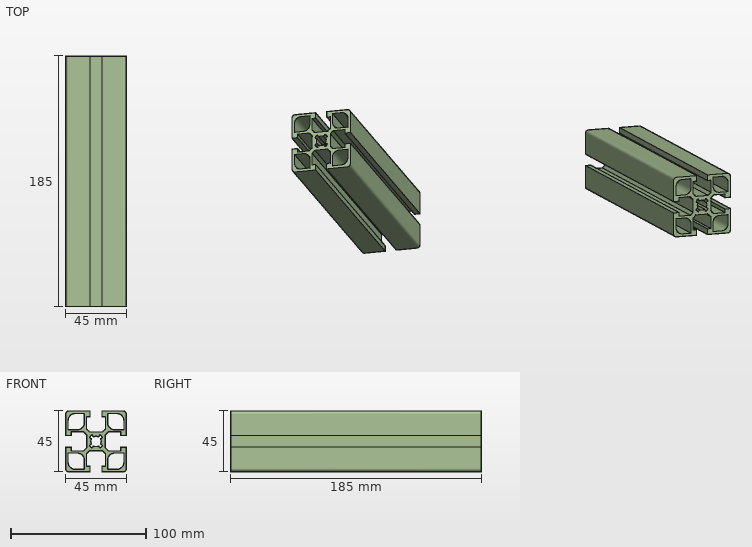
import cadquery as cq
import math

side = 45.0
length = 185.0
corner_radius = 2.5

slot_mouth_width = 8.5
slot_inner_width = 14.0
slot_lip_depth = 4.3
slot_corner_chamfer = 2.2
hub_width = 14.0

chamber_outer_wall = 2.0
chamber_slot_wall = 1.7
chamber_radius = 5.0

core_diameter = 7.5
recess_diameter = 11.2
recess_angle = 28.0
diagonal_angle = 45.0

half_side = side / 2
half_length = length / 2


def section_plane():
    """XZ plane at the -Y end of the bar; its normal points toward -Y."""
    return cq.Workplane("XZ", origin=(0, -half_length, 0))


def extrude_along_bar(outline):
    return outline.extrude(-length)


def make_bar():
    bar = extrude_along_bar(section_plane().rect(side, side))
    return bar.edges("|Y").fillet(corner_radius)


def make_slot():
    """T-slot opening to +Z, with chamfered corners at its floor."""
    mouth = slot_mouth_width / 2
    inner = slot_inner_width / 2
    floor = hub_width / 2
    lip = half_side - slot_lip_depth
    right_half = [
        (mouth, half_side),
        (mouth, lip),
        (inner, lip),
        (inner, floor + slot_corner_chamfer),
        (inner - slot_corner_chamfer, floor),
    ]
    left_half = [(-x, z) for x, z in reversed(right_half)]
    return extrude_along_bar(section_plane().polyline(right_half + left_half).close())


def make_chamber():
    """Corner chamber on the +X +Z side, rounded at its outermost and innermost corners."""
    near = slot_inner_width / 2 + chamber_slot_wall
    far = half_side - chamber_outer_wall
    width = far - near
    middle = (near + far) / 2
    chamber = extrude_along_bar(section_plane().center(middle, middle).rect(width, width))
    return chamber.edges(">(1, 0, 1) or <(1, 0, 1)").fillet(chamber_radius)


def make_core_hole():
    return extrude_along_bar(section_plane().circle(core_diameter / 2))


def make_core_recess():
    """Sector from the bar axis, centred on the +X +Z diagonal."""
    radius = recess_diameter / 2

    def rim_point(offset):
        angle = math.radians(diagonal_angle + offset)
        return (radius * math.cos(angle), radius * math.sin(angle))

    outline = (
        section_plane()
        .lineTo(*rim_point(-recess_angle / 2))
        .threePointArc(rim_point(0), rim_point(recess_angle / 2))
        .close()
    )
    return extrude_along_bar(outline)


result = make_bar().cut(make_core_hole())
slot = make_slot()
chamber = make_chamber()
core_recess = make_core_recess()
quarter_turn = 90
for turn in range(4):
    for cutter in (slot, chamber, core_recess):
        result = result.cut(cutter.rotate((0, 0, 0), (0, 1, 0), turn * quarter_turn))